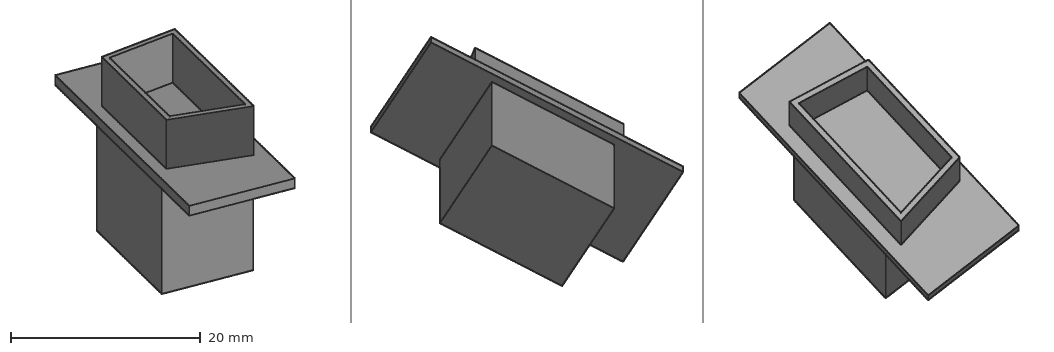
import cadquery as cq

plate_length = 30.8
plate_width = 12.55
plate_thickness = 1.2

body_length = 14.95
body_width = 10.85
body_height = 13.9

shell_back_length = 18.18
shell_front_length = 14.85
shell_width = 9.52
shell_height = 5.98
shell_wall = 0.65
shell_center_y = -0.1


def block_below(length, width, height, top_z):
    """Centred rectangular block hanging down from top_z."""
    return cq.Workplane("XY").workplane(offset=top_z).rect(length, width).extrude(-height)


def shell_outline():
    """Outer trapezoid of the shell on the plate's top face."""
    front_y = shell_center_y - shell_width / 2
    back_y = shell_center_y + shell_width / 2
    return cq.Workplane("XY").polyline([
        (-shell_front_length / 2, front_y),
        (shell_front_length / 2, front_y),
        (shell_back_length / 2, back_y),
        (-shell_back_length / 2, back_y),
    ]).close()


plate = block_below(plate_length, plate_width, plate_thickness, 0)
body = block_below(body_length, body_width, body_height, -plate_thickness)

cavity = shell_outline().offset2D(-shell_wall).extrude(shell_height)
shell = shell_outline().extrude(shell_height).cut(cavity)

result = plate.union(body).union(shell)